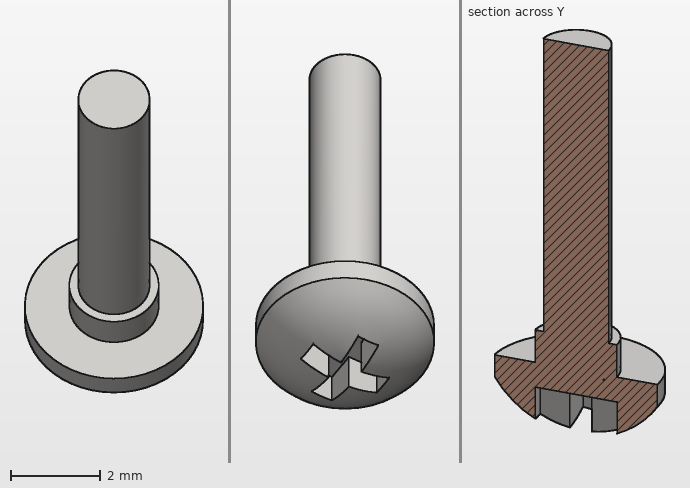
import cadquery as cq
import math

total_length = 9.6
head_diameter = 4.0
rim_height = 0.55
dome_height = 1.08
collar_diameter = 2.01
collar_height = 0.8
shank_diameter = 1.6
slot_width = 0.54
recess_span = 2.0
recess_depth = 1.0

head_radius = head_diameter / 2
dome_radius = (head_radius**2 + dome_height**2) / (2 * dome_height)
corner_radius = slot_width / math.sqrt(2)
apex_loss = dome_radius - math.sqrt(dome_radius**2 - corner_radius**2)
apex_z = -apex_loss
rim_bottom_z = apex_z + dome_height
rim_top_z = rim_bottom_z + rim_height
collar_top_z = rim_top_z + collar_height


def make_head():
    """Rim and spherical dome, revolved about Z."""
    mid_radius = head_radius / 2
    mid_z = apex_z + dome_radius - math.sqrt(dome_radius**2 - mid_radius**2)
    return (
        cq.Workplane("XZ")
        .moveTo(0, apex_z)
        .threePointArc((mid_radius, mid_z), (head_radius, rim_bottom_z))
        .lineTo(head_radius, rim_top_z)
        .lineTo(0, rim_top_z)
        .close()
        .revolve(360, (0, 0, 0), (0, 1, 0))
    )


def make_cylinder(diameter, bottom_z, top_z):
    """Upright cylinder centred on the part axis."""
    return cq.Workplane("XY").workplane(offset=bottom_z).circle(diameter / 2).extrude(top_z - bottom_z)


def make_cross_recess():
    """Two crossed slots, cut upward from the dome apex."""
    base = cq.Workplane("XY").workplane(offset=apex_z)
    along_x = base.rect(recess_span, slot_width).extrude(recess_depth)
    along_y = base.rect(slot_width, recess_span).extrude(recess_depth)
    return along_x.union(along_y)


collar = make_cylinder(collar_diameter, rim_top_z, collar_top_z)
shank = make_cylinder(shank_diameter, collar_top_z, total_length)

result = make_head().union(collar).union(shank).cut(make_cross_recess())